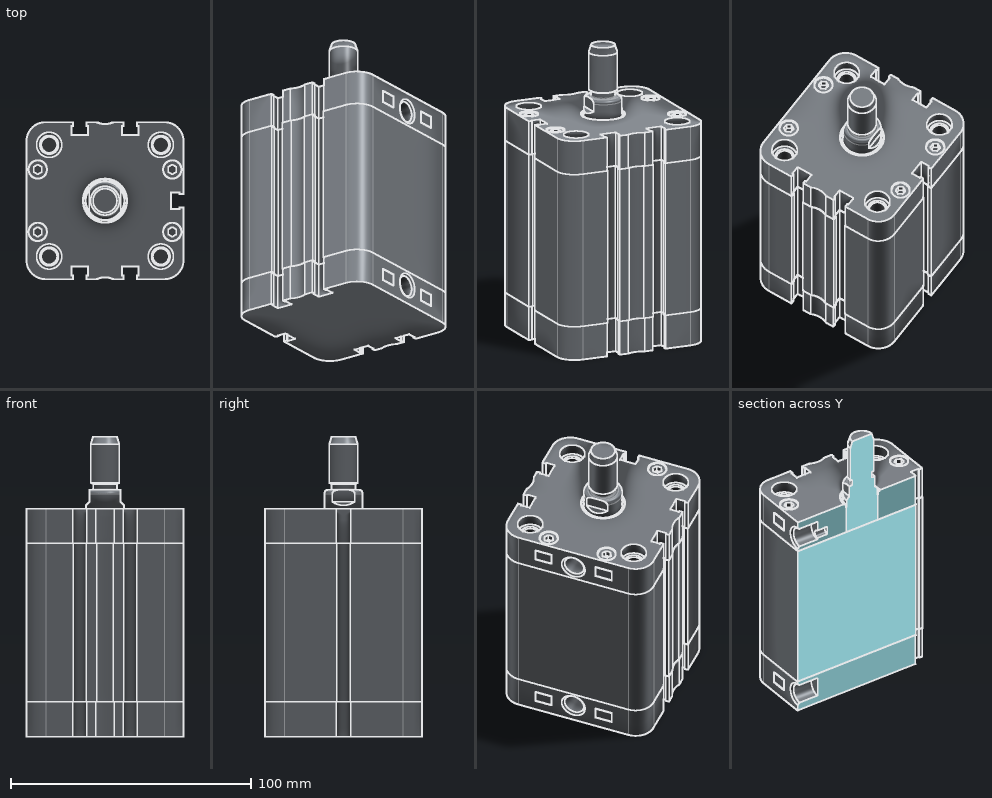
import cadquery as cq
import math

TOTAL_HEIGHT = 125.0
BODY_WIDTH = 65.5
BODY_HEIGHT = 95.0
CAP_HEIGHT = 14.5
CORNER_RADIUS = 8.0
HALF_WIDTH = BODY_WIDTH / 2
BARREL_HEIGHT = BODY_HEIGHT - 2 * CAP_HEIGHT
FRONT_CAP_BASE = BODY_HEIGHT - CAP_HEIGHT

SLOT_OFFSET = 10.5
MOUTH_WIDTH = 5.5
POCKET_WIDTH = 6.6
LIP_THICKNESS = 1.8
SLOT_DEPTH = 5.2
GROOVE_HALF_WIDTH = 3.4
GROOVE_DEPTH = 0.8
GROOVE_RADIUS = (GROOVE_HALF_WIDTH**2 + GROOVE_DEPTH**2) / (2 * GROOVE_DEPTH)
CAP_CLEARANCE = 0.19

MOUNT_OFFSET = 23.2
MOUNT_RECESS_DIAMETER = 10.5
MOUNT_RECESS_DEPTH = 5.0
MOUNT_CHAMFER_DIAMETER = 7.8
MOUNT_HOLE_DIAMETER = 6.6

SCREW_X = 28.0
SCREW_Y = 13.0
SCREW_RECESS_DIAMETER = 7.8
SCREW_HEAD_DIAMETER = 7.5
SCREW_RECESS_DEPTH = 0.4
SCREW_GROOVE_DEPTH = 1.0
SOCKET_ACROSS_FLATS = 3.5
SOCKET_DEPTH = 3.0

PORT_FROM_END = 8.1
PORT_DIAMETER = 8.6
PORT_CHAMFER_DIAMETER = 10.5
PORT_DEPTH = 10.0
PASSAGE_DIAMETER = 3.5
PASSAGE_FROM_END = 10.0
PASSAGE_DEPTH = 15.0
LABEL_OFFSET = 13.5
LABEL_FROM_END = 7.2
LABEL_WIDTH = 7.2
LABEL_HEIGHT = 5.0
LABEL_DEPTH = 0.2

ROD_DIAMETER = 16.0
BORE_RELIEF_DIAMETER = 16.5
BORE_RECESS_DIAMETER = 18.0
BORE_RECESS_DEPTH = 0.5
BORE_MOUTH_DIAMETER = 18.5
BORE_RELIEF_DEPTH = 2.0
SHOULDER_HEIGHT = 102.9
SHOULDER_EDGE_RADIUS = 1.6
NECK_FILLET_RADIUS = 0.4
NECK_DIAMETER = 10.0
THREAD_DIAMETER = 12.0
THREAD_BASE = 105.2
THREAD_TIP_CHAMFER_HEIGHT = 3.1
THREAD_CHAMFER = (THREAD_DIAMETER - NECK_DIAMETER) / 2
THREAD_BASE_CHAMFER_HEIGHT = 0.5
FLATS_WIDTH = 13.0
FLATS_BASE = 97.9


def slot_cutter(base, height, clearance):
    """T-shaped slot opening outward at Y = HALF_WIDTH, centred on X = 0."""
    def centred_box(width, depth):
        full_width = width + 2 * clearance
        return (
            cq.Workplane("XY", origin=(0, HALF_WIDTH, base))
            .rect(full_width, 2 * depth)
            .extrude(height)
        )

    mouth = centred_box(MOUTH_WIDTH, SLOT_DEPTH)
    pocket = centred_box(POCKET_WIDTH, SLOT_DEPTH + clearance)
    lips = centred_box(POCKET_WIDTH, LIP_THICKNESS - clearance)
    return mouth.union(pocket.cut(lips))


def profile(base, height, clearance=0):
    """Rounded square prism with two slots and a groove on the +Y and -Y sides and one slot on +X."""
    body = (
        cq.Workplane("XY", origin=(0, 0, base))
        .rect(BODY_WIDTH, BODY_WIDTH)
        .extrude(height)
        .edges("|Z")
        .fillet(CORNER_RADIUS)
    )
    slot = slot_cutter(base, height, clearance)
    groove = (
        cq.Workplane("XY", origin=(0, HALF_WIDTH - GROOVE_DEPTH + GROOVE_RADIUS, base))
        .circle(GROOVE_RADIUS + clearance)
        .extrude(height)
    )
    side = groove
    for x in (-SLOT_OFFSET, SLOT_OFFSET):
        side = side.union(slot.translate((x, 0, 0)))
    body = body.cut(side).cut(side.mirror("XZ"))
    return body.cut(slot.rotate((0, 0, 0), (0, 0, 1), -90))


def cone_cutter(origin, large_diameter, small_diameter, direction):
    """45 degree countersink from the large to the small diameter."""
    depth = (large_diameter - small_diameter) / 2
    return cq.Solid.makeCone(
        large_diameter / 2, small_diameter / 2, depth, cq.Vector(*origin), cq.Vector(*direction)
    )


def add_port(cap, end_height, inward):
    """Air port and two label recesses on -X; inward is the Z direction from the cap's end into the body."""
    port_height = end_height + inward * PORT_FROM_END
    side = cq.Workplane("YZ", origin=(-HALF_WIDTH, 0, 0))
    cap = cap.cut(side.center(0, port_height).circle(PORT_DIAMETER / 2).extrude(PORT_DEPTH))
    cap = cap.cut(
        cone_cutter((-HALF_WIDTH, 0, port_height), PORT_CHAMFER_DIAMETER, PORT_DIAMETER, (1, 0, 0))
    )
    labels = (
        side.pushPoints([(y, end_height + inward * LABEL_FROM_END) for y in (-LABEL_OFFSET, LABEL_OFFSET)])
        .rect(LABEL_WIDTH, LABEL_HEIGHT)
        .extrude(LABEL_DEPTH)
    )
    return cap.cut(labels)


def mirrored_points(x, y):
    """The four points at plus and minus x and y."""
    return [(sx * x, sy * y) for sx in (-1, 1) for sy in (-1, 1)]


def add_mounting_holes(cap):
    """Stepped holes through the cap, countersunk where the recess meets the small hole."""
    top = cq.Workplane("XY", origin=(0, 0, BODY_HEIGHT))
    points = mirrored_points(MOUNT_OFFSET, MOUNT_OFFSET)
    floor = BODY_HEIGHT - MOUNT_RECESS_DEPTH
    cap = cap.cut(top.pushPoints(points).circle(MOUNT_RECESS_DIAMETER / 2).extrude(-MOUNT_RECESS_DEPTH))
    cap = cap.cut(top.pushPoints(points).circle(MOUNT_HOLE_DIAMETER / 2).extrude(-CAP_HEIGHT))
    for x, y in points:
        cap = cap.cut(
            cone_cutter((x, y, floor), MOUNT_CHAMFER_DIAMETER, MOUNT_HOLE_DIAMETER, (0, 0, -1))
        )
    return cap


def add_screw_heads(cap):
    """Sunk screw heads, each with a ring groove around it and a hexagon socket."""
    top = cq.Workplane("XY", origin=(0, 0, BODY_HEIGHT)).pushPoints(mirrored_points(SCREW_X, SCREW_Y))
    recesses = top.circle(SCREW_RECESS_DIAMETER / 2).extrude(-SCREW_RECESS_DEPTH)
    rings = (
        top.circle(SCREW_RECESS_DIAMETER / 2)
        .circle(SCREW_HEAD_DIAMETER / 2)
        .extrude(-SCREW_GROOVE_DEPTH)
    )
    socket = (
        cq.Workplane("XY", origin=(0, 0, BODY_HEIGHT))
        .polygon(6, SOCKET_ACROSS_FLATS / math.cos(math.pi / 6))
        .extrude(-SOCKET_DEPTH)
        .rotate((0, 0, 0), (0, 0, 1), 30)
    )
    cap = cap.cut(recesses).cut(rings)
    for x, y in mirrored_points(SCREW_X, SCREW_Y):
        cap = cap.cut(socket.translate((x, y, 0)))
    return cap


def add_rod_bore(cap):
    """Bore that fits the rod, with a clearance around the rod and a chamfered recess at its mouth."""
    top = cq.Workplane("XY", origin=(0, 0, BODY_HEIGHT))
    cap = cap.cut(top.circle(ROD_DIAMETER / 2).extrude(-CAP_HEIGHT))
    cap = cap.cut(top.circle(BORE_RELIEF_DIAMETER / 2).extrude(-BORE_RELIEF_DEPTH))
    cap = cap.cut(top.circle(BORE_RECESS_DIAMETER / 2).extrude(-BORE_RECESS_DEPTH))
    return cap.cut(
        cone_cutter((0, 0, BODY_HEIGHT), BORE_MOUTH_DIAMETER, BORE_RECESS_DIAMETER, (0, 0, -1))
    )


def make_barrel():
    return profile(CAP_HEIGHT, BARREL_HEIGHT)


def make_rear_cap():
    return add_port(profile(0, CAP_HEIGHT, CAP_CLEARANCE), 0, 1)


def make_front_cap():
    """Cap around the rod, with an air passage that leads on from the floor of its port."""
    cap = add_port(profile(FRONT_CAP_BASE, CAP_HEIGHT, CAP_CLEARANCE), BODY_HEIGHT, -1)
    passage = (
        cq.Workplane("YZ", origin=(-HALF_WIDTH, 0, BODY_HEIGHT - PASSAGE_FROM_END))
        .circle(PASSAGE_DIAMETER / 2)
        .extrude(PASSAGE_DEPTH)
    )
    cap = cap.cut(passage)
    return add_rod_bore(add_screw_heads(add_mounting_holes(cap)))


def make_piston_rod():
    """Turned rod with a threaded end and two wrench flats facing +X and -X."""
    rod_radius = ROD_DIAMETER / 2
    neck_radius = NECK_DIAMETER / 2
    thread_radius = THREAD_DIAMETER / 2
    rod = (
        cq.Workplane("XZ")
        .moveTo(0, FRONT_CAP_BASE)
        .lineTo(rod_radius, FRONT_CAP_BASE)
        .lineTo(rod_radius, SHOULDER_HEIGHT - SHOULDER_EDGE_RADIUS)
        .radiusArc((rod_radius - SHOULDER_EDGE_RADIUS, SHOULDER_HEIGHT), -SHOULDER_EDGE_RADIUS)
        .lineTo(neck_radius + NECK_FILLET_RADIUS, SHOULDER_HEIGHT)
        .radiusArc((neck_radius, SHOULDER_HEIGHT + NECK_FILLET_RADIUS), NECK_FILLET_RADIUS)
        .lineTo(neck_radius, THREAD_BASE)
        .lineTo(thread_radius, THREAD_BASE + THREAD_BASE_CHAMFER_HEIGHT)
        .lineTo(thread_radius, TOTAL_HEIGHT - THREAD_TIP_CHAMFER_HEIGHT)
        .lineTo(thread_radius - THREAD_CHAMFER, TOTAL_HEIGHT)
        .lineTo(0, TOTAL_HEIGHT)
        .close()
        .revolve(360, (0, 0, 0), (0, 1, 0))
    )
    flat_depth = (ROD_DIAMETER - FLATS_WIDTH) / 2
    flat = (
        cq.Workplane("XZ")
        .moveTo(FLATS_WIDTH / 2, FLATS_BASE)
        .lineTo(FLATS_WIDTH / 2 + flat_depth, FLATS_BASE - flat_depth)
        .lineTo(FLATS_WIDTH / 2 + flat_depth, SHOULDER_HEIGHT)
        .lineTo(FLATS_WIDTH / 2, SHOULDER_HEIGHT)
        .close()
        .extrude(rod_radius, both=True)
    )
    return rod.cut(flat).cut(flat.mirror("YZ"))


barrel = make_barrel()
rear_cap = make_rear_cap()
front_cap = make_front_cap()
piston_rod = make_piston_rod()

result = cq.Compound.makeCompound([barrel.val(), rear_cap.val(), front_cap.val(), piston_rod.val()])